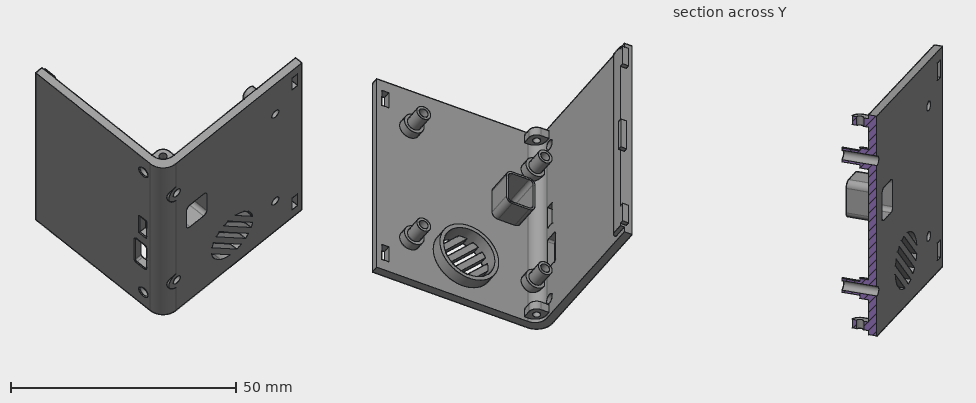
import cadquery as cq

length_x = 41.0
length_y = 43.7
height = 54.0
mid_z = height / 2

sheet = 2.0
outer_bend_radius = 4.05
inner_bend_radius = 3.0
tab_reach = 1.0
wall_inner_x = length_x - sheet

lip_height = 1.0
lip_round = 0.95
lip_end_x = 4.85
lip_end_gap = 1.35
tab_width_y = 1.5
end_tab_length = 5.0
end_tab_gap = 2.0
middle_tab_length = 8.0

knuckle_size = 4.0
knuckle_length = 2.2
knuckle_end_gap = 0.95
knuckle_bore = 1.8

boss_pitch_y = 31.0
boss_pitch_z = 31.95
boss_low_y = 4.3
boss_base_diameter = 5.0
boss_base_height = 2.15
boss_pin_diameter = 3.5
boss_height = 6.4
boss_bore = 2.2

window_y = 10.6
window_z = 30.65
window_width = 6.3
window_length = 8.05
window_corner = 1.0
frame_thickness = 0.5
frame_height = boss_height

speaker_y = 21.75
speaker_z = mid_z - boss_pitch_z / 2
ring_diameter = 15.0
ring_bore = 13.0
ring_height = 3.0
bar_width = 1.55
bar_pitch = 2.9
first_bar_offset = 4.5
bar_count = 5
bar_angle = 45

latch_slot_y = 41.45
latch_slot_width = 1.75
latch_slot_length = 4.25
latch_slot_gap = 2.8

front_hole_x = 34.8
front_hole_rim = 2.9
front_hole_low_z = 4.75
front_hole_pitch = 44.05
switch_x = 34.55
switch_z = 28.5
switch_width = 2.5
switch_length = 6.25
port_x = 33.85
port_z = 18.0
port_width = 3.9
port_length = 8.8
port_corner = 0.7
opening_chamfer = 0.2


def box(x0, x1, y0, y1, z0, z1):
    """Block between two opposite corners."""
    return cq.Workplane("XY").box(x1 - x0, y1 - y0, z1 - z0, centered=False).translate((x0, y0, z0))


def wall_plane(x, y, z):
    """Sketch plane parallel to the wall, facing +X, centred on (y, z)."""
    return cq.Workplane("YZ", origin=(x, y, z))


def front_plane(x, z):
    """Sketch plane on the outer face of the front plate, facing out of the shell."""
    return cq.Workplane("XZ", origin=(x, 0, z))


def mirror_z(solid):
    """The solid together with its copy mirrored about mid height."""
    return solid.union(solid.mirror("XY", (0, 0, mid_z)))


def opening_cutter(profile):
    """Cutter through the front plate for a rim profile, chamfered inwards from the outer face."""
    rim = profile.extrude(-opening_chamfer, taper=45)
    passage = rim.faces(">Y").wires().toPending().workplane().extrude(sheet)
    return rim.union(passage)


def make_sheet():
    """Front plate and wall joined by a rounded bend."""
    outer = box(tab_reach, length_x, 0, length_y, 0, height)
    outer = outer.edges("|Z and >X and <Y").fillet(outer_bend_radius)
    inner = box(tab_reach, wall_inner_x, sheet, length_y, 0, height)
    inner = inner.edges("|Z and >X and <Y").fillet(inner_bend_radius)
    return outer.cut(inner)


def make_lip_and_tabs():
    """Inner lip with a rounded edge, two end tabs flush with it and a raised middle tab."""
    lip_top = sheet + lip_height
    lip = box(tab_reach, lip_end_x, sheet, lip_top, lip_end_gap, height - lip_end_gap)
    lip = lip.edges("|Z and >X and >Y").fillet(lip_round)
    end_tab = box(0, tab_reach, lip_top - tab_width_y, lip_top, end_tab_gap, end_tab_gap + end_tab_length)
    half_middle = middle_tab_length / 2
    middle_tab = box(0, tab_reach, sheet, sheet + tab_width_y, mid_z - half_middle, mid_z + half_middle)
    return lip.union(mirror_z(end_tab)).union(middle_tab)


def make_knuckles():
    """Pair of blocks, each with one rounded corner."""
    block = box(
        wall_inner_x - knuckle_size, wall_inner_x,
        sheet, sheet + knuckle_size,
        knuckle_end_gap, knuckle_end_gap + knuckle_length,
    )
    block = block.edges("|Z and <X and >Y").fillet(knuckle_size / 2)
    return mirror_z(block)


result = make_sheet().union(make_lip_and_tabs()).union(make_knuckles())

bore = (
    cq.Workplane("XY", origin=(wall_inner_x - knuckle_size / 2, sheet + knuckle_size / 2, knuckle_end_gap))
    .circle(knuckle_bore / 2)
    .extrude(knuckle_length)
)
result = result.cut(mirror_z(bore))

boss_centres = [
    (boss_low_y + row * boss_pitch_y, mid_z + side * boss_pitch_z / 2) for row in (0, 1) for side in (-1, 1)
]
for y, z in boss_centres:
    outer_face = wall_plane(length_x, y, z)
    base = outer_face.circle(boss_base_diameter / 2).extrude(-(sheet + boss_base_height))
    pin = outer_face.circle(boss_pin_diameter / 2).extrude(-(sheet + boss_height))
    result = result.union(base).union(pin)
for y, z in boss_centres:
    hole = wall_plane(length_x, y, z).circle(boss_bore / 2).extrude(-(sheet + boss_height))
    result = result.cut(hole)

frame = (
    wall_plane(wall_inner_x, window_y, window_z)
    .rect(window_width + 2 * frame_thickness, window_length + 2 * frame_thickness)
    .extrude(-frame_height)
    .edges("|X")
    .fillet(window_corner + frame_thickness)
)
window = (
    wall_plane(length_x, window_y, window_z)
    .rect(window_width, window_length)
    .extrude(-(sheet + frame_height))
    .edges("|X")
    .fillet(window_corner)
)
result = result.union(frame).cut(window)

ring = wall_plane(wall_inner_x, speaker_y, speaker_z).circle(ring_diameter / 2).extrude(-ring_height)
grille = wall_plane(length_x, speaker_y, speaker_z).circle(ring_bore / 2).extrude(-(sheet + ring_height))
for index in range(bar_count):
    offset = first_bar_offset - index * bar_pitch
    bar = (
        wall_plane(length_x, speaker_y, speaker_z)
        .transformed(rotate=(0, 0, -bar_angle))
        .center(0, offset)
        .rect(ring_diameter, bar_width)
        .extrude(-sheet)
    )
    grille = grille.cut(bar)
result = result.union(ring).cut(grille)

latch_slot = box(
    wall_inner_x, length_x,
    latch_slot_y - latch_slot_width / 2, latch_slot_y + latch_slot_width / 2,
    latch_slot_gap, latch_slot_gap + latch_slot_length,
)
result = result.cut(mirror_z(latch_slot))

for z in (front_hole_low_z, front_hole_low_z + front_hole_pitch):
    front_hole = opening_cutter(front_plane(front_hole_x, z).circle(front_hole_rim / 2))
    result = result.cut(front_hole)
switch = opening_cutter(front_plane(switch_x, switch_z).rect(switch_width, switch_length))
port_profile = cq.Sketch().rect(port_width, port_length).vertices().fillet(port_corner)
port = opening_cutter(front_plane(port_x, port_z).placeSketch(port_profile))
result = result.cut(switch).cut(port)